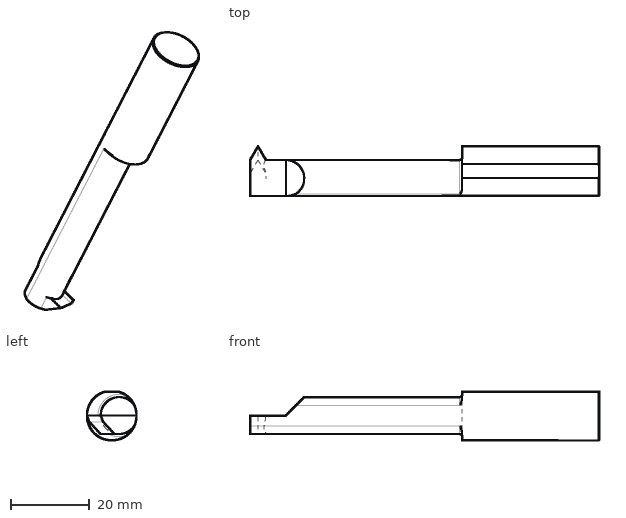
import cadquery as cq
import math

total_length = 88.9
shank_diameter = 12.7
shank_length = 34.925
shank_flat_height = 6.09
end_chamfer = 0.25

neck_radius = 4.7
neck_axis_y = -1.88
neck_fillet = 0.7

cutting_face_length = 9.1
runout_angle = 45.0

tooth_tip_y = 6.34
tooth_angle = 60.0
primary_relief_depth = 1.6
primary_relief_setback = 0.65
bottom_relief_setback = 3.5

shank_radius = shank_diameter / 2
neck_length = total_length - shank_length
tooth_root_y = neck_axis_y + neck_radius
tooth_depth = tooth_tip_y - tooth_root_y
tooth_half_width = tooth_depth * math.tan(math.radians(tooth_angle / 2))


def x_cylinder(radius, length):
    return cq.Workplane("YZ").circle(radius).extrude(length)


def make_shank():
    """Round shank with a chamfered rear end and a locating flat on top."""
    shank = x_cylinder(shank_radius, shank_length).faces(">X").chamfer(end_chamfer)
    below_flat = cq.Workplane("XY").box(
        shank_length, shank_diameter, shank_radius + shank_flat_height, centered=(False, True, False)
    ).translate((0, 0, -shank_radius))
    return shank.intersect(below_flat).translate((neck_length, 0, 0))


def make_neck():
    """Offset neck flaring into the shank through a fillet, kept inside the shank diameter."""
    arc_drop = neck_fillet * math.sqrt(0.5)
    flare_radius = neck_radius + neck_fillet
    arc_middle = (neck_length - neck_fillet + arc_drop, flare_radius - arc_drop)
    neck = (
        cq.Workplane("XY")
        .lineTo(0, neck_radius)
        .lineTo(neck_length - neck_fillet, neck_radius)
        .threePointArc(arc_middle, (neck_length, flare_radius))
        .lineTo(neck_length, 0)
        .close()
        .revolve(360, (0, 0, 0), (1, 0, 0))
        .translate((0, neck_axis_y, 0))
    )
    return neck.intersect(x_cylinder(shank_radius, neck_length))


def make_chip_clearance():
    """Volume above the cutting face, bounded at the rear by the sloping run-out."""
    height = shank_diameter
    runout_length = height / math.tan(math.radians(runout_angle))
    return (
        cq.Workplane("XZ")
        .lineTo(cutting_face_length, 0)
        .lineTo(cutting_face_length + runout_length, height)
        .lineTo(0, height)
        .close()
        .extrude(shank_radius, both=True)
    )


def make_front_clearance():
    """Neck material ahead of the tooth tip on the cutting side, replaced by the relieved tooth."""
    return cq.Workplane("XY").box(
        tooth_half_width, shank_diameter, shank_diameter, centered=False
    ).translate((0, neck_axis_y, -shank_diameter))


def tooth_section(x, edge_y):
    """Relieved section across the bar whose cutting edge is at edge_y."""
    points = [
        (neck_axis_y, 0),
        (edge_y, 0),
        (edge_y - primary_relief_setback, -primary_relief_depth),
        (edge_y - bottom_relief_setback, -neck_radius),
        (neck_axis_y, -neck_radius),
    ]
    return cq.Wire.makePolygon([cq.Vector(x, y, z) for y, z in points], close=True)


def make_tooth():
    """Thread-form tooth: a front flank and a rear flank meeting at the tip."""
    front_root = tooth_section(0, tooth_root_y)
    tip = tooth_section(tooth_half_width, tooth_tip_y)
    rear_root = tooth_section(2 * tooth_half_width, tooth_root_y)
    front_half = cq.Workplane(cq.Solid.makeLoft([front_root, tip], True))
    rear_half = cq.Workplane(cq.Solid.makeLoft([tip, rear_root], True))
    return front_half.union(rear_half)


bar = make_neck().cut(make_chip_clearance()).cut(make_front_clearance())
result = bar.union(make_tooth()).union(make_shank()).clean()